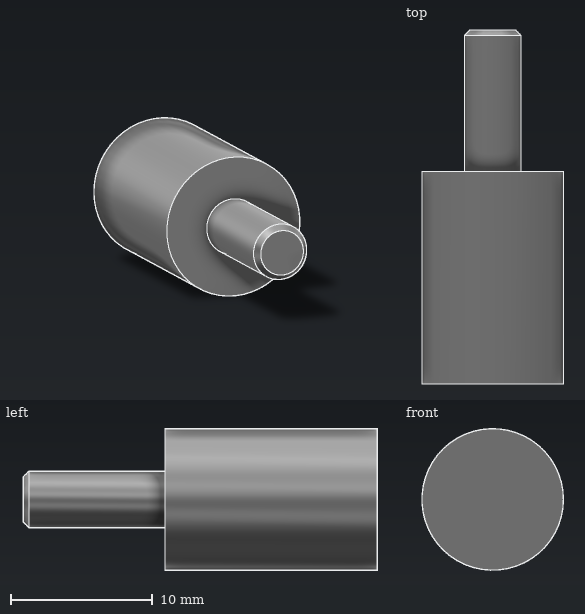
import cadquery as cq

buffer_diameter = 10.0
buffer_length = 15.0
stud_diameter = 4.0
stud_length = 10.0
stud_chamfer = 0.4

total_length = buffer_length + stud_length
buffer_front_y = -total_length / 2
buffer_back_y = buffer_front_y + buffer_length


def cylinder_along_y(diameter, length, start_y):
    """Cylinder on the Y axis that runs from start_y toward +Y."""
    plane = cq.Workplane("XZ", origin=(0, start_y, 0))
    return plane.circle(diameter / 2).extrude(-length)


def make_buffer():
    """Plain round buffer with flat ends."""
    return cylinder_along_y(buffer_diameter, buffer_length, buffer_front_y)


def make_stud():
    """Stud that stands on the back face of the buffer, chamfered at its free end."""
    stud = cylinder_along_y(stud_diameter, stud_length, buffer_back_y)
    return stud.faces(">Y").chamfer(stud_chamfer)


buffer = make_buffer()
stud = make_stud()

result = cq.Compound.makeCompound([buffer.val(), stud.val()])